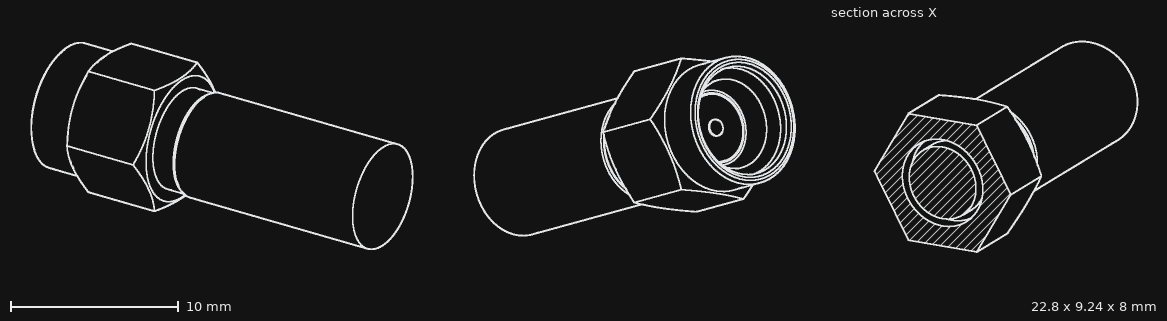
import cadquery as cq
import math

LENGTH = 22.75
COLLAR_END = 2.78
HEX_END = 8.37
NECK_END = 9.83
SLEEVE_START = 10.0

COLLAR_DIAMETER = 7.75
COLLAR_RADIUS = COLLAR_DIAMETER / 2
NECK_RADIUS = 3.15
GROOVE_RADIUS = 3.05
SLEEVE_RADIUS = 3.25

HEX_ACROSS_FLATS = 8.0
HEX_CORNER_RADIUS = HEX_ACROSS_FLATS / math.sqrt(3)
HEX_CHAMFER_ANGLE = 30.0

RIM_CHAMFER_LENGTH = 0.15
RIM_OUTER_RADIUS = 3.66
MOUTH_RADIUS = 3.48
LEAD_IN_END = 0.2
COUNTERBORE_RADIUS = 3.28
COUNTERBORE_END = 0.8
CONE_END = 1.43
BORE_RADIUS = 2.7
BORE_END = 5.23

TUBE_FRONT = 2.91
TUBE_OUTER_RADIUS = 2.28
TUBE_INNER_RADIUS = 2.12
INSULATOR_RADIUS = 2.05
INSULATOR_GAP_DEPTH = 0.45
CONTACT_RADIUS = 0.5
CONTACT_PROTRUSION = 0.1


def revolve_about_x(points):
    """Revolve a closed (x, radius) outline about the connector axis."""
    return cq.Workplane("XY").polyline(points).close().revolve(360, (0, 0, 0), (1, 0, 0))


def make_turned_body():
    return revolve_about_x([
        (0, 0),
        (0, RIM_OUTER_RADIUS),
        (RIM_CHAMFER_LENGTH, COLLAR_RADIUS),
        (HEX_END, COLLAR_RADIUS),
        (HEX_END, NECK_RADIUS),
        (NECK_END, NECK_RADIUS),
        (NECK_END, GROOVE_RADIUS),
        (SLEEVE_START, GROOVE_RADIUS),
        (SLEEVE_START, SLEEVE_RADIUS),
        (LENGTH, SLEEVE_RADIUS),
        (LENGTH, 0),
    ])


def make_hex_nut():
    """Hexagonal prism whose corners are trimmed by a cone at each end."""
    prism = (
        cq.Workplane("YZ")
        .workplane(offset=COLLAR_END)
        .polygon(6, 2 * HEX_CORNER_RADIUS)
        .extrude(HEX_END - COLLAR_END)
    )
    corner_rise = HEX_CORNER_RADIUS - COLLAR_RADIUS
    chamfer_length = corner_rise * math.tan(math.radians(HEX_CHAMFER_ANGLE))
    envelope = revolve_about_x([
        (COLLAR_END, 0),
        (COLLAR_END, COLLAR_RADIUS),
        (COLLAR_END + chamfer_length, HEX_CORNER_RADIUS),
        (HEX_END - chamfer_length, HEX_CORNER_RADIUS),
        (HEX_END, COLLAR_RADIUS),
        (HEX_END, 0),
    ])
    return prism.intersect(envelope)


def make_socket_cutter():
    return revolve_about_x([
        (0, 0),
        (0, MOUTH_RADIUS),
        (LEAD_IN_END, COUNTERBORE_RADIUS),
        (COUNTERBORE_END, COUNTERBORE_RADIUS),
        (CONE_END, BORE_RADIUS),
        (BORE_END, BORE_RADIUS),
        (BORE_END, 0),
    ])


def make_core():
    """Stepped plug: outer tube, a thin gap around the flush insulator, and the contact tip."""
    gap_end = TUBE_FRONT + INSULATOR_GAP_DEPTH
    contact_tip = TUBE_FRONT - CONTACT_PROTRUSION
    return revolve_about_x([
        (contact_tip, 0),
        (contact_tip, CONTACT_RADIUS),
        (TUBE_FRONT, CONTACT_RADIUS),
        (TUBE_FRONT, INSULATOR_RADIUS),
        (gap_end, INSULATOR_RADIUS),
        (gap_end, TUBE_INNER_RADIUS),
        (TUBE_FRONT, TUBE_INNER_RADIUS),
        (TUBE_FRONT, TUBE_OUTER_RADIUS),
        (BORE_END, TUBE_OUTER_RADIUS),
        (BORE_END, 0),
    ])


result = (
    make_turned_body()
    .union(make_hex_nut())
    .cut(make_socket_cutter())
    .union(make_core())
)